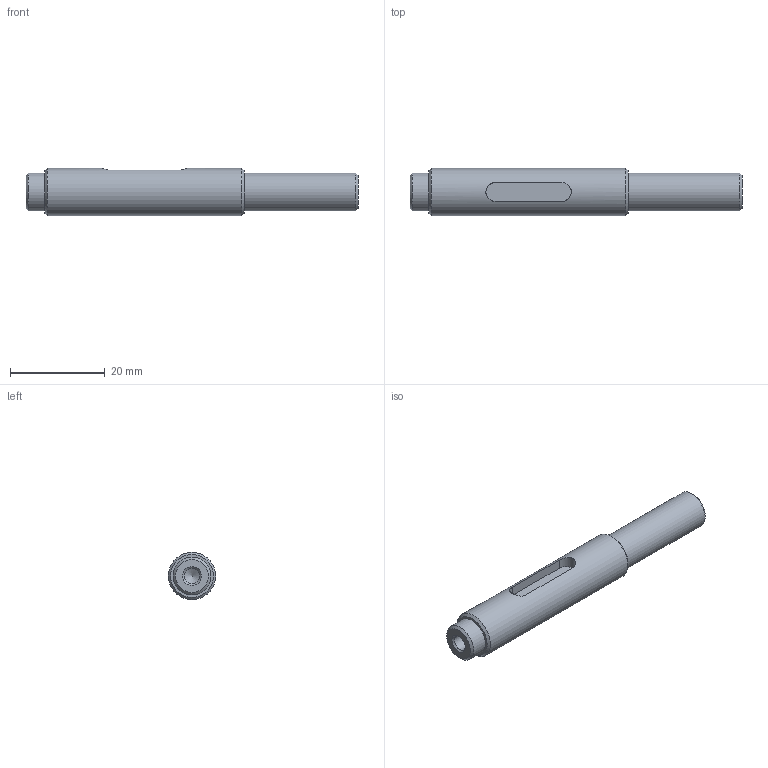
import cadquery as cq
import math

pilot_diameter = 8.0
pilot_length = 4.0
body_diameter = 10.0
body_length = 42.0
tail_diameter = 8.0
tail_length = 24.0
edge_chamfer = 0.5

keyway_start = 16.0
keyway_length = 18.0
keyway_width = 4.0
keyway_depth = 2.5

bore_diameter = 3.3
bore_depth = 10.0
bore_mouth_diameter = 4.0
drill_tip_angle = 118.0


def cylinder_along_x(start, length, diameter):
    return cq.Workplane("YZ").workplane(offset=start).circle(diameter / 2).extrude(length)


def make_shaft():
    body_end = pilot_length + body_length
    pilot = cylinder_along_x(0, pilot_length, pilot_diameter).faces("<X").chamfer(edge_chamfer)
    body = cylinder_along_x(pilot_length, body_length, body_diameter).faces("<X or >X").chamfer(edge_chamfer)
    tail = cylinder_along_x(body_end, tail_length, tail_diameter).faces(">X").chamfer(edge_chamfer)
    return pilot.union(body).union(tail)


def make_keyway():
    return (
        cq.Workplane("XY")
        .workplane(offset=body_diameter / 2 - keyway_depth)
        .center(keyway_start + keyway_length / 2, 0)
        .slot2D(keyway_length, keyway_width)
        .extrude(body_diameter)
    )


def make_bore():
    bore_radius = bore_diameter / 2
    mouth_radius = bore_mouth_diameter / 2
    tip_length = bore_radius / math.tan(math.radians(drill_tip_angle / 2))
    return (
        cq.Workplane("XY")
        .lineTo(0, mouth_radius)
        .lineTo(mouth_radius - bore_radius, bore_radius)
        .lineTo(bore_depth, bore_radius)
        .lineTo(bore_depth + tip_length, 0)
        .close()
        .revolve(360, (0, 0, 0), (1, 0, 0))
    )


result = make_shaft().cut(make_keyway()).cut(make_bore())